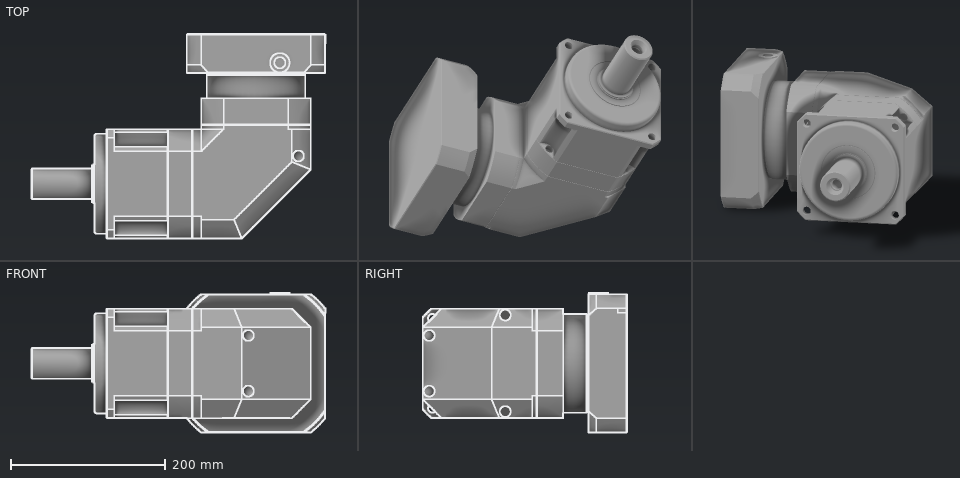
import cadquery as cq
import math


BODY_SIDE = 142.0
BODY_CORNER_DIA = 164.8
HALF = BODY_SIDE / 2

SHAFT_TIP_X = -291.0
SEAL_FACE_X = -213.0
SEAL_STEP_X = -211.0
PILOT_FACE_X = -209.5
FLANGE_FACE_X = -193.8
FLANGE_BACK_X = -183.5
OUTPUT_GROOVES_X = (-114.0, -82.5)

SHAFT_DIA = 40.0
SHAFT_CHAMFER = 1.5
CENTRE_CONE_DIA = 23.0
CENTRE_CONE_DEPTH = 5.7
CENTRE_BORE_DIA = 16.0
CENTRE_BORE_DEPTH = 11.5
TAP_DRILL_DIA = 13.7
TAP_DRILL_DEPTH = 34.5
TAP_TIP_DEPTH = 4.0

SEAL_DIA = 48.0
SEAL_BASE_DIA = 50.5
PILOT_DIA = 130.0
PILOT_FILLET = 4.0
FACE_GROOVE_INNER_DIA = 70.0
FACE_GROOVE_OUTER_DIA = 72.0
FACE_GROOVE_DEPTH = 1.0
FLANGE_CORNER_DIA = 185.5
FLANGE_CHAMFER = 1.0
BOLT_CIRCLE_DIA = 164.8
BOLT_HOLE_DIA = 11.0
BOLT_CHANNEL_DIA = 26.7
JOINT_HOLE_DIA = 11.0
JOINT_HOLE_DEPTH = 7.5
JOINT_HOLE_CIRCLE_DIA = 149.5

JOINT_GROOVE_WIDTH = 1.0
JOINT_GROOVE_DEPTH = 0.5

ELBOW_CHAMFER = 24.5
ELBOW_CUT = 89.3
SCREW_HOLE_DIA = 14.0
SCREW_CIRCLE_DIA = 144.2
SCREW_ANGLES = (60, 150, 210, 300)
SCREW_SEAT_X = HALF - ELBOW_CUT

INPUT_GROOVE_Y = 76.5
INPUT_END_Y = 111.0
COLLAR_END_Y = 141.5
ADAPTER_FRONT_Y = 143.5
ADAPTER_BACK_Y = 194.0
COLLAR_DIA = 128.0
COLLAR_CHAMFER = 0.8
NECK_DIA = 126.0

ADAPTER_SIDE = 179.3
ADAPTER_CORNER_DIA = 229.0
ADAPTER_FRONT_CORNER_DIA = 217.5
ADAPTER_CORNER_BEVEL = 10.5
ADAPTER_BACK_CHAMFER = 1.0
ADAPTER_FRONT_CHAMFER = 0.8
ADAPTER_RECESS_DIA = 129.0
ADAPTER_RECESS_DEPTH = 2.0
PLUG_X = 31.0
PLUG_Y = 156.8
PLUG_DIA = 25.0
PLUG_HEIGHT = 1.5
PLUG_RECESS_DIA = 14.5
PAD_HEIGHT = 0.8
PAD_LENGTH = 11.0
PAD_WIDTH = 5.7
PAD_Y = 187.5
PAD_Z = 68.5
NECK_END_Y = ADAPTER_FRONT_Y + ADAPTER_RECESS_DEPTH


def across_x(x):
    """Work plane across the output axis at the given X, facing +X, with local axes Y and Z."""
    return cq.Workplane("YZ", origin=(x, 0, 0))


def across_y(y):
    """Work plane across the input axis at the given Y, facing -Y, with local axes X and Z."""
    return cq.Workplane("XZ", origin=(0, y, 0))


def rounded_square(plane, side, corner_dia, length):
    """Square prism whose four corners are cut by a circle about its axis."""
    square = plane.rect(side, side).extrude(length)
    return square.intersect(plane.circle(corner_dia / 2).extrude(length))


def corner_points(circle_dia):
    """Four points on a circle, one toward each corner of the square section."""
    offset = circle_dia / 2 * math.sqrt(0.5)
    return [(a, b) for a in (-offset, offset) for b in (-offset, offset)]


def joint_groove(plane):
    """Thin frame that cuts a shallow groove around an arm."""
    frame = plane.rect(2 * BODY_SIDE, 2 * BODY_SIDE).extrude(JOINT_GROOVE_WIDTH)
    core = rounded_square(
        plane,
        BODY_SIDE - 2 * JOINT_GROOVE_DEPTH,
        BODY_CORNER_DIA - 2 * JOINT_GROOVE_DEPTH,
        JOINT_GROOVE_WIDTH,
    )
    return frame.cut(core)


def make_elbow():
    """Bend block: outer edges chamfered, outside of the bend cut off at 45 degrees."""
    block = (
        cq.Workplane("XY", origin=(0, 0, -HALF))
        .polyline(
            [
                (-HALF, HALF),
                (-HALF, -HALF),
                (HALF - ELBOW_CUT, -HALF),
                (HALF, ELBOW_CUT - HALF),
                (HALF, HALF),
            ]
        )
        .close()
        .extrude(BODY_SIDE)
    )
    outer_edges = block.faces("<Z or >Z").edges().filter(lambda edge: edge.Center().x > edge.Center().y)
    block = outer_edges.chamfer(ELBOW_CHAMFER)
    for level in (-1, 1):
        block = block.cut(inner_corner_wedge(level))
    return block


def inner_corner_wedge(level):
    """Waste that carries the rounded arm corner diagonally across the inside of the bend."""
    radius = BODY_CORNER_DIA / 2
    flat = math.sqrt(radius**2 - HALF**2)
    middle = radius * math.sqrt(0.5)
    outline = (
        across_y(HALF)
        .moveTo(-HALF, level * flat)
        .lineTo(-HALF, level * HALF)
        .lineTo(-flat, level * HALF)
        .threePointArc((-middle, level * middle), (-HALF, level * flat))
        .close()
        .val()
    )
    run = HALF - flat
    return cq.Workplane(cq.Solid.extrudeLinear(outline, [], cq.Vector(-run, -run, 0)))


def cut_screw_holes(body):
    """Screw holes along X, opening on the slanted outer faces of the elbow."""
    radius = SCREW_CIRCLE_DIA / 2
    centres = [
        (radius * math.cos(math.radians(angle)), radius * math.sin(math.radians(angle)))
        for angle in SCREW_ANGLES
    ]
    holes = across_x(SCREW_SEAT_X).pushPoints(centres).circle(SCREW_HOLE_DIA / 2).extrude(BODY_SIDE)
    return body.cut(holes)


def make_output_arm():
    """Square housing with bolt channels in its corners and a mounting flange in front."""
    housing = rounded_square(
        across_x(FLANGE_BACK_X), BODY_SIDE, BODY_CORNER_DIA, -HALF - FLANGE_BACK_X
    )
    flange = rounded_square(
        across_x(FLANGE_FACE_X), BODY_SIDE, FLANGE_CORNER_DIA, FLANGE_BACK_X - FLANGE_FACE_X
    )
    flange = flange.faces("<X").chamfer(FLANGE_CHAMFER)

    bolt_centres = corner_points(BOLT_CIRCLE_DIA)
    channels = (
        across_x(FLANGE_BACK_X)
        .pushPoints(bolt_centres)
        .circle(BOLT_CHANNEL_DIA / 2)
        .extrude(OUTPUT_GROOVES_X[0] - FLANGE_BACK_X)
    )
    bolt_holes = (
        across_x(FLANGE_FACE_X)
        .pushPoints(bolt_centres)
        .circle(BOLT_HOLE_DIA / 2)
        .extrude(FLANGE_BACK_X - FLANGE_FACE_X)
    )
    joint_holes = (
        across_x(OUTPUT_GROOVES_X[0])
        .pushPoints(corner_points(JOINT_HOLE_CIRCLE_DIA))
        .circle(JOINT_HOLE_DIA / 2)
        .extrude(JOINT_HOLE_DEPTH)
    )
    arm = housing.cut(channels).cut(joint_holes).union(flange.cut(bolt_holes))
    for groove_x in OUTPUT_GROOVES_X:
        arm = arm.cut(joint_groove(across_x(groove_x - JOINT_GROOVE_WIDTH / 2)))
    return arm


def make_pilot():
    """Round centring pilot with a ring groove in its face and the seal boss around the shaft."""
    pilot = across_x(PILOT_FACE_X).circle(PILOT_DIA / 2).extrude(FLANGE_FACE_X - PILOT_FACE_X)
    pilot = pilot.faces("<X").edges().fillet(PILOT_FILLET)
    ring_groove = (
        across_x(PILOT_FACE_X)
        .circle(FACE_GROOVE_OUTER_DIA / 2)
        .circle(FACE_GROOVE_INNER_DIA / 2)
        .extrude(FACE_GROOVE_DEPTH)
    )
    seal = across_x(SEAL_FACE_X).circle(SEAL_DIA / 2).extrude(PILOT_FACE_X - SEAL_FACE_X)
    seal_base = across_x(SEAL_STEP_X).circle(SEAL_BASE_DIA / 2).extrude(PILOT_FACE_X - SEAL_STEP_X)
    return pilot.cut(ring_groove).union(seal).union(seal_base)


def make_shaft():
    """Output shaft with a chamfered tip and a stepped, conical-ended centre hole."""
    shaft = across_x(SHAFT_TIP_X).circle(SHAFT_DIA / 2).extrude(SEAL_FACE_X - SHAFT_TIP_X)
    shaft = shaft.faces("<X").edges().chamfer(SHAFT_CHAMFER)
    drill_end_x = SHAFT_TIP_X + TAP_DRILL_DEPTH
    centre_hole = (
        cq.Workplane("XY")
        .polyline(
            [
                (SHAFT_TIP_X, 0),
                (SHAFT_TIP_X, CENTRE_CONE_DIA / 2),
                (SHAFT_TIP_X + CENTRE_CONE_DEPTH, CENTRE_BORE_DIA / 2),
                (SHAFT_TIP_X + CENTRE_BORE_DEPTH, CENTRE_BORE_DIA / 2),
                (SHAFT_TIP_X + CENTRE_BORE_DEPTH, TAP_DRILL_DIA / 2),
                (drill_end_x, TAP_DRILL_DIA / 2),
                (drill_end_x + TAP_TIP_DEPTH, 0),
            ]
        )
        .close()
        .revolve(360, (0, 0, 0), (1, 0, 0))
    )
    return shaft.cut(centre_hole)


def make_input_arm():
    """Square stub on the motor side, with a round collar and a short neck behind it."""
    stub = rounded_square(across_y(INPUT_END_Y), BODY_SIDE, BODY_CORNER_DIA, INPUT_END_Y - HALF)
    stub = stub.cut(joint_groove(across_y(INPUT_GROOVE_Y + JOINT_GROOVE_WIDTH / 2)))
    collar = across_y(COLLAR_END_Y).circle(COLLAR_DIA / 2).extrude(COLLAR_END_Y - INPUT_END_Y)
    collar = collar.faces(">Y").edges().chamfer(COLLAR_CHAMFER)
    neck = across_y(NECK_END_Y).circle(NECK_DIA / 2).extrude(NECK_END_Y - COLLAR_END_Y)
    return stub.union(collar).union(neck)


def make_gearbox():
    """The gearbox as one solid: elbow, both arms, pilot and shaft."""
    gearbox_body = cut_screw_holes(make_elbow())
    for section in (make_output_arm(), make_pilot(), make_shaft(), make_input_arm()):
        gearbox_body = gearbox_body.union(section)
    return gearbox_body


def make_adapter():
    """Motor adapter plate: turned corners, coned at the front, with a plug on top and a small side pad."""
    thickness = ADAPTER_BACK_Y - ADAPTER_FRONT_Y
    square = across_y(ADAPTER_BACK_Y).rect(ADAPTER_SIDE, ADAPTER_SIDE).extrude(thickness)
    turned_blank = (
        cq.Workplane("XY")
        .polyline(
            [
                (0, ADAPTER_FRONT_Y),
                (ADAPTER_FRONT_CORNER_DIA / 2, ADAPTER_FRONT_Y),
                (ADAPTER_CORNER_DIA / 2, ADAPTER_FRONT_Y + ADAPTER_CORNER_BEVEL),
                (ADAPTER_CORNER_DIA / 2, ADAPTER_BACK_Y),
                (0, ADAPTER_BACK_Y),
            ]
        )
        .close()
        .revolve(360, (0, 0, 0), (0, 1, 0))
    )
    plate = square.intersect(turned_blank)
    plate = plate.faces(">Y").chamfer(ADAPTER_BACK_CHAMFER)
    plate = plate.faces("<Y").chamfer(ADAPTER_FRONT_CHAMFER)
    recess = across_y(NECK_END_Y).circle(ADAPTER_RECESS_DIA / 2).extrude(ADAPTER_RECESS_DEPTH)
    plate = plate.cut(recess)

    top_z = ADAPTER_SIDE / 2
    top_plane = cq.Workplane("XY", origin=(PLUG_X, PLUG_Y, top_z))
    plug = top_plane.circle(PLUG_DIA / 2).circle(PLUG_RECESS_DIA / 2).extrude(PLUG_HEIGHT)
    pad = (
        cq.Workplane("YZ", origin=(ADAPTER_SIDE / 2 - PAD_HEIGHT, PAD_Y, PAD_Z))
        .rect(PAD_LENGTH, PAD_WIDTH)
        .extrude(2 * PAD_HEIGHT)
    )
    return plate.union(plug).union(pad)


gearbox = make_gearbox()
adapter = make_adapter()
result = cq.Compound.makeCompound([gearbox.val(), adapter.val()])